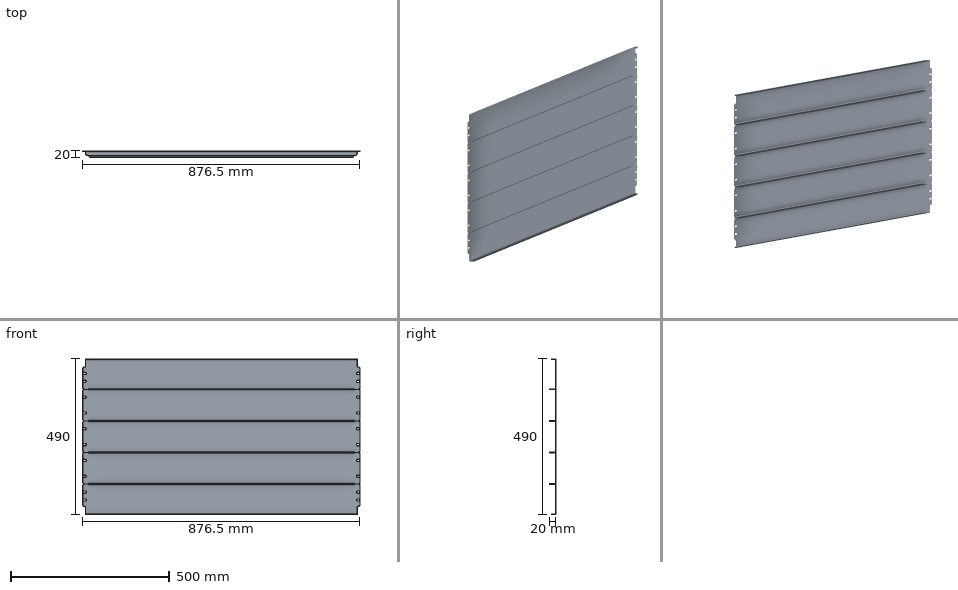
import cadquery as cq

WIDTH = 876.5
HEIGHT = 490.0
DEPTH = 20.0

SHEET = 1.5
BEND_RADIUS = 3.0
BEND_INSIDE = BEND_RADIUS - SHEET
OUTER_FLANGE_DEPTH = 15.0

PANEL_COUNT = 5
PITCH = 100.0
SEAMS = [(i - PANEL_COUNT / 2) * PITCH for i in range(1, PANEL_COUNT)]

EAR_LENGTH = 9.0
EAR_SETBACK = 24.5
EAR_CORNER = 6.0
NECK_WIDTH = WIDTH - 2 * EAR_LENGTH

INNER_FLANGE_INSET = 20.0
INNER_FLANGE_WIDTH = WIDTH - 2 * INNER_FLANGE_INSET
OUTER_FLANGE_CORNER = 9.0
INNER_FLANGE_CORNER = 5.0

SLOT_LENGTH = 10.5
SLOT_HEIGHT = 6.0
SLOT_INSET = 6.0
SLOT_FROM_SEAM = PITCH / 4
END_SLOT_FROM_SEAM = PITCH / 2


def slab(width, start, end):
    """Flat piece of sheet between two heights, back face on Y = 0, centred on X = 0."""
    middle = (start + end) / 2
    return cq.Workplane("XY").box(width, SHEET, abs(end - start)).translate((0, -SHEET / 2, middle))


def folded_strip(width, depth, corner, edge, side):
    """Bend and flange standing toward -Y with its outer face on Z = edge.

    The side is +1 for a flange at the top edge of a panel and -1 at the bottom edge.
    """
    bend_start = edge - side * BEND_RADIUS
    inside_face = edge - side * SHEET
    strip = (
        cq.Workplane("YZ")
        .moveTo(0, bend_start)
        .radiusArc((-BEND_RADIUS, edge), -side * BEND_RADIUS)
        .lineTo(-depth, edge)
        .lineTo(-depth, inside_face)
        .lineTo(-BEND_RADIUS, inside_face)
        .radiusArc((-SHEET, bend_start), side * BEND_INSIDE)
        .close()
        .extrude(width / 2, both=True)
    )
    tip_corners = strip.faces("<Y").edges("|Z")
    return tip_corners.fillet(corner)


def add_inner_flange(sheet, edge, side):
    """Fold the sheet at a seam, leaving the ears flat up to the seam."""
    flat_strip = slab(INNER_FLANGE_WIDTH, edge - side * BEND_RADIUS, edge)
    flange = folded_strip(INNER_FLANGE_WIDTH, DEPTH, INNER_FLANGE_CORNER, edge, side)
    return sheet.cut(flat_strip).union(flange)


def add_outer_flange(sheet, edge, side):
    """Extend the sheet past its ears by a neck that ends in a flange."""
    neck = slab(NECK_WIDTH, edge - side * EAR_SETBACK, edge - side * BEND_RADIUS)
    flange = folded_strip(NECK_WIDTH, OUTER_FLANGE_DEPTH, OUTER_FLANGE_CORNER, edge, side)
    return sheet.union(neck).union(flange)


def cut_slots(sheet, heights):
    """Cut a horizontal slot through both ears at each height."""
    slot_x = WIDTH / 2 - SLOT_INSET
    places = [(x, z) for x in (-slot_x, slot_x) for z in heights]
    slots = cq.Workplane("XZ").pushPoints(places).slot2D(SLOT_LENGTH, SLOT_HEIGHT).extrude(SHEET)
    return sheet.cut(slots)


def flat_sheet(bottom, top):
    """Flat part of a panel as wide as the ears, with rounded ear corners."""
    return slab(WIDTH, bottom, top).edges("|Y").fillet(EAR_CORNER)


def middle_panel(bottom, top):
    """Panel between two seams."""
    panel = flat_sheet(bottom, top)
    panel = add_inner_flange(panel, bottom, -1)
    panel = add_inner_flange(panel, top, 1)
    return cut_slots(panel, [bottom + SLOT_FROM_SEAM, top - SLOT_FROM_SEAM])


def end_panel(seam, side):
    """Panel at the top (side = +1) or bottom (side = -1) end of the stack."""
    edge = side * HEIGHT / 2
    panel = flat_sheet(*sorted((seam, edge - side * EAR_SETBACK)))
    panel = add_inner_flange(panel, seam, -side)
    panel = add_outer_flange(panel, edge, side)
    return cut_slots(panel, [seam + side * SLOT_FROM_SEAM, seam + side * END_SLOT_FROM_SEAM])


bottom_panel = end_panel(SEAMS[0], -1)
top_panel = end_panel(SEAMS[-1], 1)
middle_panels = [middle_panel(low, high) for low, high in zip(SEAMS, SEAMS[1:])]

panels = [bottom_panel, *middle_panels, top_panel]
result = cq.Compound.makeCompound([panel.solids().val() for panel in panels])